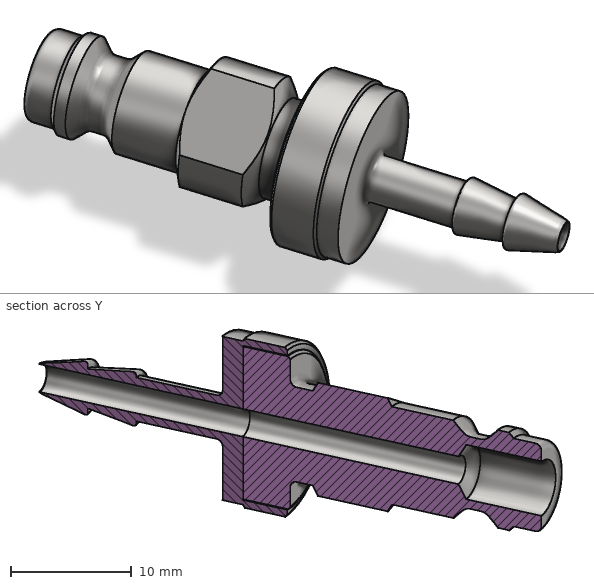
import cadquery as cq
import math


bore_r = 2.5 / 2
inlet_r = 4.95 / 2
inlet_depth = 7.05
drill_point_angle = 118.0

plug_r = 8.1 / 2
plug_fillet = 0.6
barrel_r = 9.0 / 2
collar_start = 3.05
collar_end = 4.1
groove_r = 6.65 / 2
barrel_start = 8.25
groove_fillet = 0.95

wrench_start = 14.0
wrench_end = 21.45
wrench_r = 5.9
bevel_angle = 30.0
flat_distance = barrel_r
flat_count = 3

neck_r = 8.7 / 2
neck_fillet = 0.55
disc_start = 23.5
disc_end = 27.95
disc_r = 14.0 / 2
disc_chamfer = 0.25

cup_start = 23.8
recess_r = 14.05 / 2
cup_r = 15.5 / 2
cup_chamfer = 0.25
cup_step = disc_end
cup_step_bevel = 0.2
cup_back_r = 15.0 / 2
cup_back = 29.9

stem_r = 4.05 / 2
stem_fillet = 0.5
barb_r = 2.55
barb_starts = (37.95, 42.45)
barb_round = 0.3
barb_valley_r = 1.85
nose_start = 46.65
nose_r = 1.45
tip_x = 47.0
tip_r = 1.3


def turned(profile):
    """Revolve a closed (x, r) profile about the X axis."""
    return cq.Workplane("XY").polyline(profile).close().revolve(360, (0, 0, 0), (1, 0, 0))


def fillet_circle(body, x, r, fillet_r):
    """Fillet the circular edge of radius r that lies at x."""
    tolerance = 4.7e-05

    def is_wanted(edge):
        if edge.geomType() != "CIRCLE":
            return False
        return abs(edge.Center().x - x) < tolerance and abs(edge.radius() - r) < tolerance

    return body.newObject([e for e in body.edges().vals() if is_wanted(e)]).fillet(fillet_r)


def make_wrench_section():
    """Bevelled collar cut by three flats, one of them facing +Y."""
    bevel_slope = math.tan(math.radians(bevel_angle))
    front_bevel = (wrench_r - barrel_r) * bevel_slope
    rear_bevel = (wrench_r - neck_r) * bevel_slope
    section = turned([
        (wrench_start, 0),
        (wrench_start, barrel_r),
        (wrench_start + front_bevel, wrench_r),
        (wrench_end - rear_bevel, wrench_r),
        (wrench_end, neck_r),
        (wrench_end, 0),
    ])
    length = wrench_end - wrench_start
    flat_tool = cq.Workplane("XY").box(length, wrench_r, 2 * wrench_r, centered=(False, False, True))
    flat_tool = flat_tool.translate((wrench_start, flat_distance, 0))
    for i in range(flat_count):
        section = section.cut(flat_tool.rotate((0, 0, 0), (1, 0, 0), i * 360 / flat_count))
    return section


def make_nipple_bore():
    """Wide inlet with a drill-point end, then the narrow passage."""
    point_length = (inlet_r - bore_r) / math.tan(math.radians(drill_point_angle / 2))
    return turned([
        (0, 0),
        (0, inlet_r),
        (inlet_depth, inlet_r),
        (inlet_depth + point_length, bore_r),
        (disc_end, bore_r),
        (disc_end, 0),
    ])


def make_nipple():
    """Plug, barrel, wrench section, neck and disc in one piece."""
    groove_depth = barrel_r - groove_r
    groove_start = collar_end + groove_depth
    groove_end = barrel_start - groove_depth
    body = turned([
        (0, 0),
        (0, plug_r),
        (collar_start - (barrel_r - plug_r), plug_r),
        (collar_start, barrel_r),
        (collar_end, barrel_r),
        (groove_start, groove_r),
        (groove_end, groove_r),
        (barrel_start, barrel_r),
        (wrench_start, barrel_r),
        (wrench_start, neck_r),
        (disc_start, neck_r),
        (disc_start, disc_r - disc_chamfer),
        (disc_start + disc_chamfer, disc_r),
        (disc_end, disc_r),
        (disc_end, 0),
    ])
    body = fillet_circle(body, 0, plug_r, plug_fillet)
    body = fillet_circle(body, groove_start, groove_r, groove_fillet)
    body = fillet_circle(body, groove_end, groove_r, groove_fillet)
    body = fillet_circle(body, disc_start, neck_r, neck_fillet)
    return body.union(make_wrench_section()).cut(make_nipple_bore())


def make_barbed_cup():
    """Cup that holds the disc, with the barbed hose stem behind it."""
    first_barb, second_barb = barb_starts
    body = turned([
        (cup_start, recess_r),
        (cup_start, cup_r - cup_chamfer),
        (cup_start + cup_chamfer, cup_r),
        (cup_step - cup_step_bevel, cup_r),
        (cup_step, cup_back_r),
        (cup_back, cup_back_r),
        (cup_back, stem_r),
        (first_barb, stem_r),
        (first_barb, barb_r),
        (second_barb, barb_valley_r),
        (second_barb, barb_r),
        (nose_start, nose_r),
        (tip_x, tip_r),
        (tip_x, bore_r),
        (disc_end, bore_r),
        (disc_end, recess_r),
    ])
    body = fillet_circle(body, cup_back, stem_r, stem_fillet)
    for barb_start in barb_starts:
        body = fillet_circle(body, barb_start, barb_r, barb_round)
    return body


nipple = make_nipple()
barbed_cup = make_barbed_cup()

result = cq.Compound.makeCompound([nipple.val(), barbed_cup.val()])